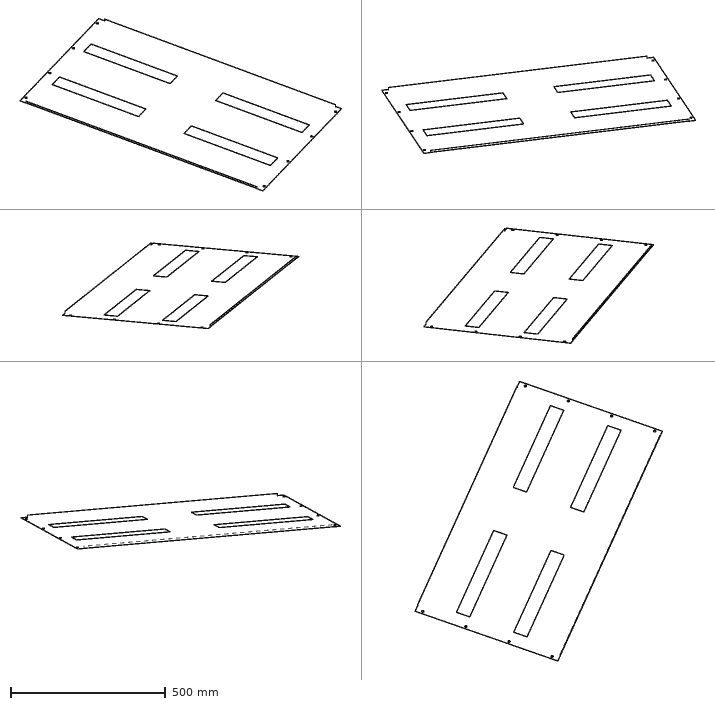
import cadquery as cq

plate_length = 917.0
plate_width = 499.0
sheet_thickness = 1.0

overall_height = 8.0
lip_end_setback = 22.5
lip_length = plate_length - 2 * lip_end_setback
inner_bend_radius = 0.5
outer_bend_radius = inner_bend_radius + sheet_thickness

window_length = 326.0
window_width = 46.0
window_spacing_x = 498.0
window_spacing_y = 200.0

hole_diameter = 6.5
hole_edge_distance = 9.0
hole_row_spacing = plate_length - 2 * hole_edge_distance
hole_pitch = 150.5
holes_per_row = 4


def make_plate():
    """Flat sheet lying on Z = 0, with stretches of the long edges cleared for the bends."""
    plate = cq.Workplane("XY").box(plate_length, plate_width, sheet_thickness, centered=(True, True, False))
    bend_clearance = (
        cq.Workplane("XY")
        .rarray(plate_length, plate_width, 1, 2)
        .rect(lip_length, 2 * outer_bend_radius)
        .extrude(sheet_thickness)
    )
    return plate.cut(bend_clearance)


def make_lip():
    """Rounded bend and upright lip along the +Y long edge, outer face flush with that edge."""
    outer_y = plate_width / 2
    inner_y = outer_y - sheet_thickness
    bend_start_y = outer_y - outer_bend_radius
    return (
        cq.Workplane("YZ")
        .moveTo(bend_start_y, 0)
        .radiusArc((outer_y, outer_bend_radius), -outer_bend_radius)
        .lineTo(outer_y, overall_height)
        .lineTo(inner_y, overall_height)
        .lineTo(inner_y, outer_bend_radius)
        .radiusArc((bend_start_y, sheet_thickness), inner_bend_radius)
        .close()
        .extrude(lip_length / 2, both=True)
    )


def make_windows():
    """Cutters for the four windows."""
    return (
        cq.Workplane("XY")
        .rarray(window_spacing_x, window_spacing_y, 2, 2)
        .rect(window_length, window_width)
        .extrude(sheet_thickness)
    )


def make_holes():
    """Cutters for both rows of fixing holes."""
    return (
        cq.Workplane("XY")
        .rarray(hole_row_spacing, hole_pitch, 2, holes_per_row)
        .circle(hole_diameter / 2)
        .extrude(sheet_thickness)
    )


lip = make_lip()
bent_sheet = make_plate().union(lip).union(lip.mirror("XZ"))
result = bent_sheet.cut(make_windows()).cut(make_holes())